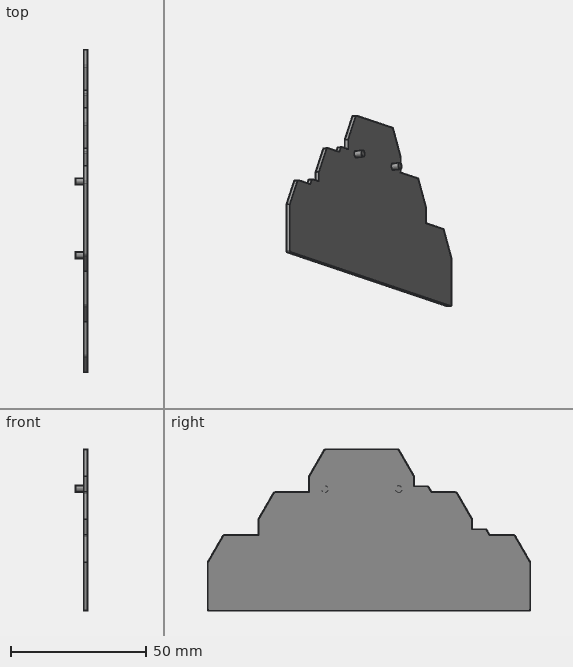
import math

import cadquery as cq

plate_thickness = 1.5
plate_width = 119.2
plate_height = 59.78

tier_count = 3
tier_rise = 15.85
left_tier_run = 21.45
right_tier_run = 18.7
slope_angle = 60.0
bevel_height = 10.1
bevel_run = bevel_height / math.tan(math.radians(slope_angle))

ledge_height = 2.15
ledge_width = 6.4
ledge_run = ledge_height / math.tan(math.radians(slope_angle))

corner_radius = 1.0
ledge_radius = 0.8
base_radius = 0.6

pin_diameter = 2.5
pin_length = 3.0
pin_spacing = 27.3
pin_middle_y = -2.75
pin_z = 45.1

half_width = plate_width / 2
tier_tops = [plate_height - tier_rise * (tier_count - 1 - tier) for tier in range(tier_count)]
left_walls = [half_width - left_tier_run * tier for tier in range(tier_count)]
right_walls = [-half_width + right_tier_run * tier for tier in range(tier_count)]
left_bevel_tops = [(wall - bevel_run, top) for wall, top in zip(left_walls, tier_tops)]
right_bevel_tops = [(wall + bevel_run, top) for wall, top in zip(right_walls, tier_tops)]
ledge_corners = [
    (wall + ledge_width - ledge_run, top + ledge_height)
    for wall, top in zip(left_walls[1:], tier_tops)
]


def left_flank():
    """(y, z) corners climbing the +Y side, with a ledge before each upper tier."""
    points = []
    for tier in range(tier_count):
        wall = left_walls[tier]
        top = tier_tops[tier]
        if tier > 0:
            shelf = tier_tops[tier - 1]
            points.append((wall + ledge_width, shelf))
            points.append(ledge_corners[tier - 1])
            points.append((wall, shelf + ledge_height))
        points.append((wall, top - bevel_height))
        points.append(left_bevel_tops[tier])
    return points


def right_flank():
    """(y, z) corners descending the -Y side."""
    points = []
    for tier in reversed(range(tier_count)):
        wall = right_walls[tier]
        points.append(right_bevel_tops[tier])
        points.append((wall, tier_tops[tier] - bevel_height))
        if tier > 0:
            points.append((wall, tier_tops[tier - 1]))
    return points


def round_corners(body, corners, radius):
    """Fillet the edges along X that pass through the given (y, z) corners."""
    for y, z in corners:
        nearest = cq.selectors.NearestToPointSelector((plate_thickness / 2, y, z))
        body = body.edges("|X").edges(nearest).fillet(radius)
    return body


def make_plate():
    base_corners = [(-half_width, 0), (half_width, 0)]
    outline = [base_corners[1]] + left_flank() + right_flank() + [base_corners[0]]
    plate = cq.Workplane("YZ").polyline(outline).close().extrude(plate_thickness)
    plate = round_corners(plate, left_bevel_tops + right_bevel_tops, corner_radius)
    plate = round_corners(plate, ledge_corners, ledge_radius)
    return round_corners(plate, base_corners, base_radius)


def make_pins():
    centers = [(pin_middle_y + side * pin_spacing / 2, pin_z) for side in (-1, 1)]
    return cq.Workplane("YZ").pushPoints(centers).circle(pin_diameter / 2).extrude(-pin_length)


result = make_plate().union(make_pins())